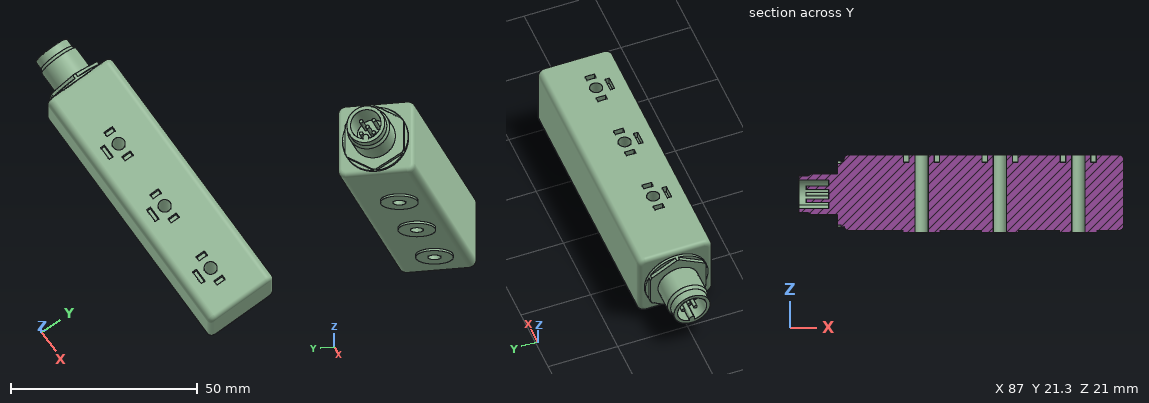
import cadquery as cq
import math

overall_length = 87.0
housing_start = 12.1
housing_width = 21.3
housing_height = 20.4
housing_top = 10.6
housing_bottom = housing_top - housing_height
long_edge_radius = 2.2
end_edge_radius = 1.3

tip_diameter = 10.4
tip_length = 2.4
barrel_diameter = 11.6
barrel_start = 3.4
hex_start = 10.3
flange_start = 11.3
hex_across_flats = 16.0
flange_diameter = 18.0

bore_diameter = 8.35
bore_depth = 8.0
pin_diameter = 1.0
pin_recess = 2.0
pin_offset = 1.7
key_width = 1.5
key_height = 1.3

station_pitch = 21.0
first_station_x = 32.9
station_count = 3
station_y = -1.65
station_hole_diameter = 3.5
side_slot_offset = 4.1
side_slot_length = 2.7
side_slot_width = 1.4
front_slot_offset = 3.9
front_slot_length = 3.9
front_slot_width = 1.2
slot_depth = 2.0
disc_diameter = 10.1
disc_thickness = 0.6


def x_cylinder(diameter, start, end):
    """Cylinder on the connector axis from start to end."""
    plane = cq.Workplane("YZ", origin=(start, 0, 0))
    return plane.circle(diameter / 2).extrude(end - start)


def make_housing():
    bar = cq.Workplane("XY").box(
        overall_length - housing_start, housing_width, housing_height, centered=(False, True, False)
    )
    bar = bar.edges("|X").fillet(long_edge_radius)
    bar = bar.faces("<X or >X").edges().fillet(end_edge_radius)
    return bar.translate((housing_start, 0, housing_bottom))


def make_connector_body():
    tip_radius = tip_diameter / 2
    barrel_radius = barrel_diameter / 2
    half_profile = [
        (0, 0),
        (0, tip_radius),
        (tip_length, tip_radius),
        (barrel_start, barrel_radius),
        (hex_start, barrel_radius),
        (hex_start, 0),
    ]
    barrel = cq.Workplane("XY").polyline(half_profile).close().revolve(360, (0, 0, 0), (1, 0, 0))

    hex_across_corners = hex_across_flats / math.cos(math.pi / 6)
    hexagon = (
        cq.Workplane("YZ", origin=(hex_start, 0, 0))
        .transformed(rotate=(0, 0, 90))
        .polygon(6, hex_across_corners)
        .extrude(flange_start - hex_start)
    )
    hexagon = hexagon.intersect(x_cylinder(flange_diameter, hex_start, flange_start))
    flange = x_cylinder(flange_diameter, flange_start, housing_start)
    return barrel.union(hexagon).union(flange)


def make_socket_inserts():
    """Pins and key standing inside the connector bore."""
    pin_places = [(0, 0)]
    for y_side in (-1, 1):
        for z_side in (-1, 1):
            pin_places.append((y_side * pin_offset, z_side * pin_offset))
    inserts = cq.Workplane("YZ", origin=(pin_recess, 0, 0)).pushPoints(pin_places)
    inserts = inserts.circle(pin_diameter / 2).extrude(bore_depth - pin_recess)

    crest_z = key_height - bore_diameter / 2
    shoulder_z = crest_z - key_width / 2
    key_root_z = -(bore_diameter + tip_diameter) / 4
    key = (
        cq.Workplane("YZ")
        .moveTo(-key_width / 2, key_root_z)
        .lineTo(-key_width / 2, shoulder_z)
        .threePointArc((0, crest_z), (key_width / 2, shoulder_z))
        .lineTo(key_width / 2, key_root_z)
        .close()
        .extrude(bore_depth)
    )
    return inserts.union(key)


def slot_cutter(x, y, x_size, y_size):
    """Rectangular pocket tool sunk into the top of the housing."""
    pocket_floor = cq.Workplane("XY", origin=(x, y, housing_top - slot_depth))
    return pocket_floor.rect(x_size, y_size).extrude(slot_depth)


def add_station(body, x):
    underside = cq.Workplane("XY", origin=(x, station_y, housing_bottom))
    body = body.union(underside.circle(disc_diameter / 2).extrude(-disc_thickness))

    disc_face = cq.Workplane("XY", origin=(x, station_y, housing_bottom - disc_thickness))
    body = body.cut(disc_face.circle(station_hole_diameter / 2).extrude(housing_height + disc_thickness))

    for side in (-1, 1):
        slot_x = x + side * side_slot_offset
        body = body.cut(slot_cutter(slot_x, station_y, side_slot_width, side_slot_length))
    front_slot_y = station_y - front_slot_offset
    return body.cut(slot_cutter(x, front_slot_y, front_slot_length, front_slot_width))


result = make_housing().union(make_connector_body())
result = result.cut(x_cylinder(bore_diameter, 0, bore_depth))
result = result.union(make_socket_inserts())
for station in range(station_count):
    result = add_station(result, first_station_x + station * station_pitch)